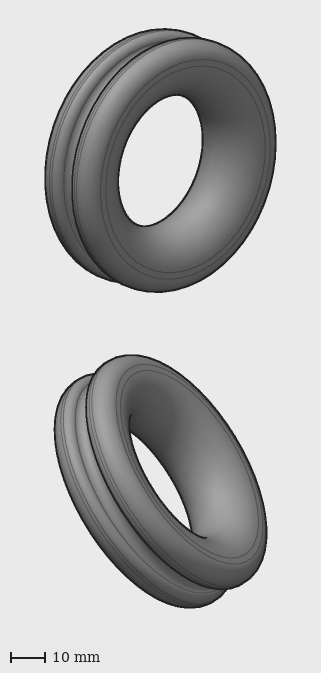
import cadquery as cq
import math

width = 22.0
outer_radius = 76.0 / 2
bore_radius = 20.0
shoulder_radius = 5.0
groove_radius = 2.5
lip_radius = 2.5

half_width = width / 2
bore_round_radius = half_width
side_inner = bore_radius + bore_round_radius
side_outer = outer_radius - shoulder_radius
rim_outer_x = half_width - shoulder_radius
rim_inner_x = groove_radius + lip_radius
groove_top = outer_radius - lip_radius
groove_bottom = groove_top - groove_radius
diagonal = math.sqrt(0.5)


def ring_profile():
    """Half section in the XY plane, with Y as the distance from the ring axis."""
    shoulder_mid = diagonal * shoulder_radius
    lip_mid = diagonal * lip_radius
    return (
        cq.Workplane("XY")
        .moveTo(-half_width, side_inner)
        .lineTo(-half_width, side_outer)
        .threePointArc(
            (-rim_outer_x - shoulder_mid, side_outer + shoulder_mid),
            (-rim_outer_x, outer_radius),
        )
        .lineTo(-rim_inner_x, outer_radius)
        .threePointArc(
            (-rim_inner_x + lip_mid, groove_top + lip_mid),
            (-groove_radius, groove_top),
        )
        .threePointArc((0, groove_bottom), (groove_radius, groove_top))
        .threePointArc(
            (rim_inner_x - lip_mid, groove_top + lip_mid),
            (rim_inner_x, outer_radius),
        )
        .lineTo(rim_outer_x, outer_radius)
        .threePointArc(
            (rim_outer_x + shoulder_mid, side_outer + shoulder_mid),
            (half_width, side_outer),
        )
        .lineTo(half_width, side_inner)
        .threePointArc((0, bore_radius), (-half_width, side_inner))
        .close()
    )


result = ring_profile().revolve(360, (0, 0, 0), (1, 0, 0))